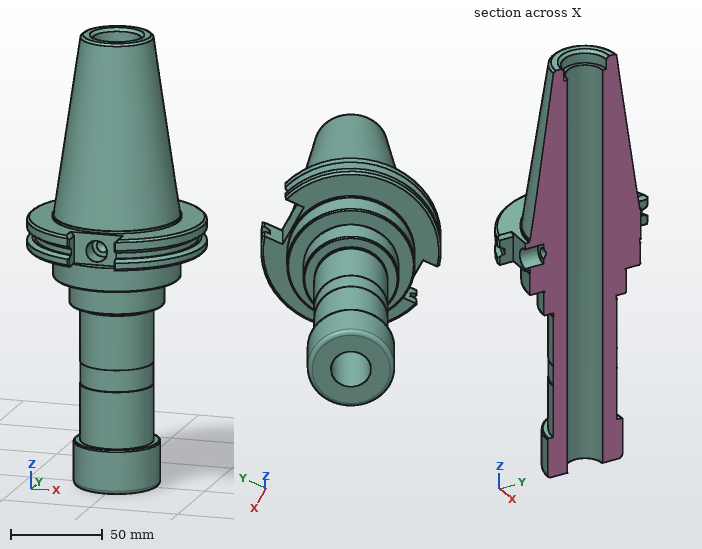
import cadquery as cq
import math

total_height = 254.0
gauge_z = 152.5
flange_top_z = 151.1
flange_bottom_z = 133.5
relief_bottom_z = 131.3
hub_bottom_z = 117.5
collar_bottom_z = 102.4
neck_bottom_z = 100.3
band_top_z = 69.5
band_bottom_z = 57.5
nut_top_z = 25.1

gauge_diameter = 69.3
hub_diameter = 69.8
gauge_ring_diameter = 70.5
flange_diameter = 98.3
relief_diameter = 69.3
collar_diameter = 52.0
shank_diameter = 40.5
neck_diameter = 40.0
band_diameter = 40.1
nut_diameter = 47.5
taper_ratio = 7 / 24

taper_tip_chamfer = 1.3
flange_chamfer = 1.3
hub_chamfer = 0.8
collar_chamfer = 0.8
lower_shank_chamfer = 0.3
nut_top_chamfer = 0.8
nut_fillet = 2.5

groove_floor_diameter = 89.7
groove_ledge_diameter = 92.5
groove_floor_top_z = 142.7
groove_ledge_z = 139.7
groove_upper_flank_height = 2.5
groove_lower_flank_height = 1.5

slot_width = 25.7
slot_top_chamfer = 2.0
slot_corner_chamfer = 0.9
front_slot_floor = 37.5
back_slot_floor = 35.3

screw_z = 141.2
screw_head_diameter = 12.0
screw_head_depth = 11.5
screw_tip_diameter = 6.9
screw_tip_depth = 1.8

bore_diameter = 21.8
counterbore_diameter = 26.5
counterbore_depth = 8.0
bore_mouth_diameter = 30.0


def cylinder(diameter, bottom_z, top_z):
    height = top_z - bottom_z
    return cq.Workplane("XY").workplane(offset=bottom_z).circle(diameter / 2).extrude(height)


def make_taper():
    height = total_height - gauge_z
    tip_diameter = gauge_diameter - taper_ratio * height
    return (
        cq.Workplane("XY").workplane(offset=gauge_z).circle(gauge_diameter / 2)
        .workplane(offset=height).circle(tip_diameter / 2).loft(ruled=True)
        .faces(">Z").edges().chamfer(taper_tip_chamfer)
    )


def make_groove():
    outer = flange_diameter / 2
    floor = groove_floor_diameter / 2
    return (
        cq.Workplane("XZ")
        .moveTo(floor, groove_ledge_z)
        .lineTo(groove_ledge_diameter / 2, groove_ledge_z)
        .lineTo(outer, groove_ledge_z - groove_lower_flank_height)
        .lineTo(outer, groove_floor_top_z + groove_upper_flank_height)
        .lineTo(floor, groove_floor_top_z)
        .close()
        .revolve(360, (0, 0, 0), (0, 1, 0))
    )


def make_slot(floor, side):
    """Cutter for one drive slot, opening towards side (+1 or -1) along Y, with flared edges."""
    flange_radius = flange_diameter / 2
    height = flange_top_z - flange_bottom_z
    depth = flange_radius - floor
    slot = (
        cq.Workplane("XY").workplane(offset=flange_bottom_z)
        .center(0, side * (floor + depth / 2))
        .rect(slot_width, depth).extrude(height)
    )
    top_flare = (
        cq.Workplane("XZ", origin=(0, side * floor, 0))
        .moveTo(-slot_width / 2, flange_top_z - slot_top_chamfer)
        .lineTo(slot_width / 2, flange_top_z - slot_top_chamfer)
        .lineTo(slot_width / 2 + slot_top_chamfer, flange_top_z)
        .lineTo(-slot_width / 2 - slot_top_chamfer, flange_top_z)
        .close()
        .extrude(-side * depth)
    )
    mouth_half = slot_width / 2 + slot_corner_chamfer
    mouth_y = math.sqrt(flange_radius**2 - mouth_half**2)
    corner_y = mouth_y - slot_corner_chamfer
    corner_flare = (
        cq.Workplane("XY").workplane(offset=flange_bottom_z)
        .moveTo(-slot_width / 2, side * corner_y)
        .lineTo(slot_width / 2, side * corner_y)
        .lineTo(mouth_half, side * mouth_y)
        .lineTo(mouth_half, side * flange_radius)
        .lineTo(-mouth_half, side * flange_radius)
        .lineTo(-mouth_half, side * mouth_y)
        .close()
        .extrude(height)
    )
    return slot.union(top_flare).union(corner_flare)


def make_flange():
    flange = cylinder(flange_diameter, flange_bottom_z, flange_top_z)
    flange = flange.edges().chamfer(flange_chamfer)
    flange = flange.cut(make_groove())
    flange = flange.cut(make_slot(front_slot_floor, -1))
    return flange.cut(make_slot(back_slot_floor, 1))


def make_shank():
    shank = cylinder(shank_diameter, band_top_z, neck_bottom_z)
    shank = shank.union(cylinder(neck_diameter, neck_bottom_z, collar_bottom_z))
    shank = shank.union(cylinder(band_diameter, band_bottom_z, band_top_z))
    lower = cylinder(shank_diameter, nut_top_z, band_bottom_z)
    return shank.union(lower.faces(">Z").edges().chamfer(lower_shank_chamfer))


def make_nut():
    nut = cylinder(nut_diameter, 0, nut_top_z)
    nut = nut.faces(">Z").edges().chamfer(nut_top_chamfer)
    return nut.faces("<Z").edges().fillet(nut_fillet)


def make_bore():
    bore = cylinder(bore_diameter, 0, total_height)
    counterbore = cylinder(counterbore_diameter, total_height - counterbore_depth, total_height)
    mouth_depth = (bore_mouth_diameter - counterbore_diameter) / 2
    mouth = cq.Solid.makeCone(
        counterbore_diameter / 2, bore_mouth_diameter / 2, mouth_depth,
        cq.Vector(0, 0, total_height - mouth_depth),
    )
    return bore.union(counterbore).union(cq.Workplane(mouth))


def make_screw_hole():
    head = (
        cq.Workplane("XZ", origin=(0, -front_slot_floor, screw_z))
        .circle(screw_head_diameter / 2).extrude(-screw_head_depth)
    )
    tip = cq.Solid.makeCone(
        screw_tip_diameter / 2, 0, screw_tip_depth,
        cq.Vector(0, screw_head_depth - front_slot_floor, screw_z), cq.Vector(0, 1, 0),
    )
    return head.union(cq.Workplane(tip))


hub = cylinder(hub_diameter, hub_bottom_z, relief_bottom_z).faces("<Z").edges().chamfer(hub_chamfer)
collar = cylinder(collar_diameter, collar_bottom_z, hub_bottom_z).edges().chamfer(collar_chamfer)

result = (
    make_taper()
    .union(cylinder(gauge_ring_diameter, flange_top_z, gauge_z))
    .union(make_flange())
    .union(cylinder(relief_diameter, relief_bottom_z, flange_bottom_z))
    .union(hub)
    .union(collar)
    .union(make_shank())
    .union(make_nut())
    .cut(make_bore())
    .cut(make_screw_hole())
)